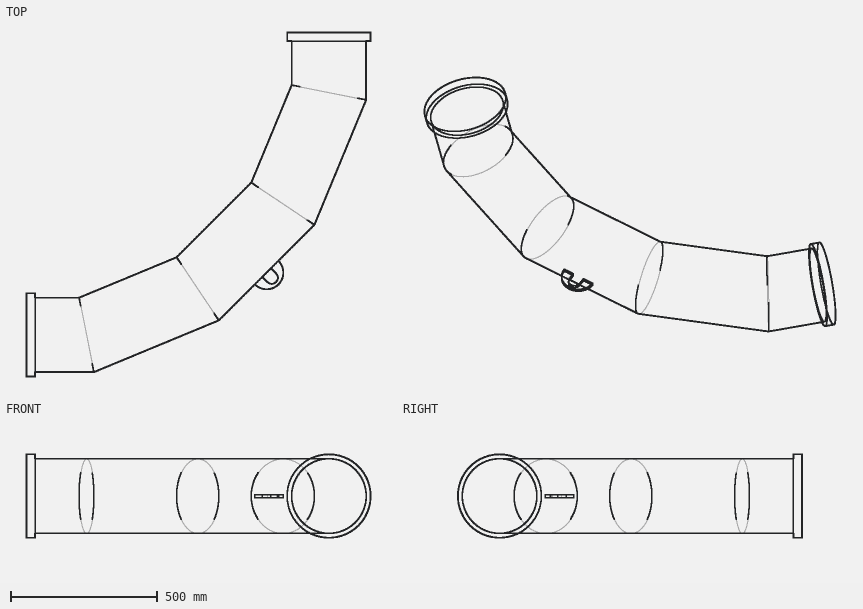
import cadquery as cq
import math

bend_radius = 1030.0
bend_angle = 90.0
mitre_count = 4
pipe_diameter = 254.0
flange_diameter = 284.73
flange_thickness = 30.0
lug_radius = 57.0
lug_thickness = 10.0
lug_slot_width = 41.0
lug_slot_reach = 45.0

mitre_step = bend_angle / mitre_count
corner_radius = bend_radius / math.cos(math.radians(mitre_step / 2))
pipe_radius = pipe_diameter / 2
flange_radius = flange_diameter / 2

bend_centre = (0.0, bend_radius)
inlet = (0.0, 0.0)
outlet = (bend_radius, bend_radius)


def point_on_bend(radius, angle):
    """Point at a radius from the bend centre, at an angle turned from the inlet."""
    turn = math.radians(angle)
    return (
        bend_centre[0] + radius * math.sin(turn),
        bend_centre[1] - radius * math.cos(turn),
    )


def make_pipe():
    """Round pipe swept along the straight runs, with mitred corners."""
    corners = [
        point_on_bend(corner_radius, (index + 0.5) * mitre_step)
        for index in range(mitre_count)
    ]
    centreline = cq.Workplane("XY").polyline([inlet, *corners, outlet])
    return cq.Workplane("YZ").circle(pipe_radius).sweep(centreline, transition="right")


def make_flange(centre, inward):
    """Disc whose outer face is at centre and whose thickness runs along inward."""
    face = cq.Plane(origin=(*centre, 0), xDir=(0, 0, 1), normal=(*inward, 0))
    return cq.Workplane(face).circle(flange_radius).extrude(flange_thickness)


def make_lug():
    """Half-round lifting eye at mid-bend, with a slot running out of the pipe."""
    half_angle = bend_angle / 2
    base = point_on_bend(bend_radius + pipe_radius, half_angle)
    plane = cq.Plane(origin=(*base, 0)).rotated((0, 0, half_angle - 90))
    plate = cq.Workplane(plane).circle(lug_radius).extrude(lug_thickness / 2, both=True)
    slot = (
        cq.Workplane(plane)
        .slot2D(2 * lug_slot_reach, lug_slot_width)
        .extrude(lug_thickness, both=True)
    )
    return plate.cut(slot)


inlet_flange = make_flange(inlet, (1, 0))
outlet_flange = make_flange(outlet, (0, -1))
result = make_lug().union(make_pipe()).union(inlet_flange).union(outlet_flange)